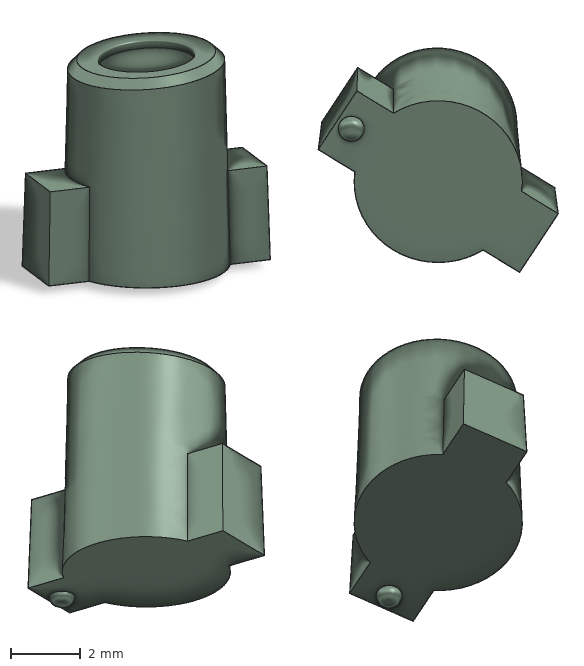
import cadquery as cq
import math

base_diameter = 4.82
draft_angle = 1.5
body_height_at_axis = 6.23
top_tilt = 4.0
top_chamfer = 0.26

pocket_diameter = 2.75
pocket_depth = 0.25
pocket_edge_radius = 0.1

wing_span = 6.83
wing_width = 2.07
wing_height = 2.8

stub_diameter = 0.74
stub_height = 0.27
stub_y = 2.95


def top_plane():
    """Workplane on the top face, which rises toward +Y."""
    tilt = math.radians(top_tilt)
    normal = (0, -math.sin(tilt), math.cos(tilt))
    return cq.Workplane(cq.Plane((0, 0, body_height_at_axis), (1, 0, 0), normal))


def make_body():
    """Drafted cone, cut by the tilted top plane and chamfered around the rim."""
    blank_height = body_height_at_axis + base_diameter / 2
    cone = cq.Workplane("XY").circle(base_diameter / 2).extrude(blank_height, taper=draft_angle)
    above_top = top_plane().rect(2 * base_diameter, 2 * base_diameter).extrude(blank_height)
    body = cone.cut(above_top)
    return body.faces(">Z").chamfer(top_chamfer)


def make_wings():
    """One drafted bar through the body, forming both wings."""
    return cq.Workplane("XY").rect(wing_width, wing_span).extrude(wing_height, taper=draft_angle)


def make_pocket():
    """Pocket volume, flared at the rim so that the cut leaves a rounded edge."""
    radius = pocket_diameter / 2
    rim_radius = radius + pocket_edge_radius
    arc_offset = pocket_edge_radius * (1 - math.sqrt(0.5))
    profile = (
        cq.Workplane("XZ", origin=(0, 0, body_height_at_axis))
        .moveTo(0, -pocket_depth)
        .lineTo(radius, -pocket_depth)
        .lineTo(radius, -pocket_edge_radius)
        .threePointArc((radius + arc_offset, -arc_offset), (rim_radius, 0))
        .lineTo(0, 0)
        .close()
    )
    pocket = profile.revolve(360, (0, 0, 0), (0, 1, 0))
    pivot = (0, 0, body_height_at_axis)
    return pocket.rotate(pivot, (1, 0, body_height_at_axis), top_tilt)


def make_stub():
    """Short downward stub: a quarter-round flank curving in to a small flat tip."""
    tip_radius = stub_diameter / 2 - stub_height
    arc_middle = (tip_radius + stub_height * math.sqrt(0.5), -stub_height * math.sqrt(0.5))
    profile = (
        cq.Workplane("XZ", origin=(0, stub_y, 0))
        .lineTo(stub_diameter / 2, 0)
        .threePointArc(arc_middle, (tip_radius, -stub_height))
        .lineTo(0, -stub_height)
        .close()
    )
    return profile.revolve(360, (0, 0, 0), (0, 1, 0))


result = make_body().union(make_wings()).cut(make_pocket()).union(make_stub())